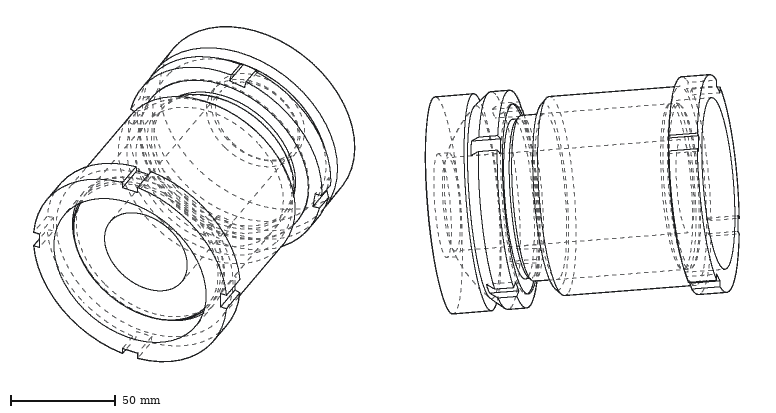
import cadquery as cq
import math

flange_radius = 52.5
flange_bevel_height = 1.2
thread_radius = 40.0
bore_radius = 22.5

slot_width = 8.2
slot_depth = 3.3
slot_count = 4

housing_radius = 48.0
housing_height = 82.0
housing_chamfer = 3.0
housing_flange_height = 15.1
relief_radius = 41.4
relief_depth = 19.0

spindle_base = 16.3
spindle_end_chamfer = 0.8
thread_top = 94.8
thread_top_chamfer = 1.5
neck_radius = 38.5
head_base = 96.7
head_bevel_radius = 48.2
head_recess_radius = 45.8
head_recess_depth = 0.8
dome_start = 107.2
spindle_slot_top = 112.0
spindle_turn = 8.1

sphere_center = 70.7
sphere_radius = math.hypot(flange_radius, dome_start - sphere_center)
dome_top = sphere_center + math.sqrt(sphere_radius**2 - bore_radius**2)

cap_radius = 52.4
cap_bore_radius = 25.0
cap_base = 114.5
cap_top = 134.7
cap_bevel_height = 0.7
cap_bevel_width = 3.0
cap_tilt_z = 1.4
cap_tilt_x = 0.9


def revolve_y(profile):
    """Turn a closed (radius, Y) profile around the Y axis."""
    return profile.close().revolve(360, (0, 0, 0), (0, 1, 0))


def cylinder_y(radius, start, end):
    return cq.Workplane("XZ", origin=(0, start, 0)).circle(radius).extrude(start - end)


def cut_spanner_slots(body, start, end, turn):
    """Cut equally spaced slots into a flange, from Y = start to Y = end."""
    slot = cq.Workplane("XY").box(
        2 * slot_depth, end - start, slot_width
    ).translate((flange_radius, (start + end) / 2, 0))
    for index in range(slot_count):
        angle = turn + index * 360 / slot_count
        body = body.cut(slot.rotate((0, 0, 0), (0, 1, 0), angle))
    return body


def make_housing():
    relief_step = relief_radius - thread_radius
    profile = (
        cq.Workplane("XY")
        .moveTo(relief_radius, 0)
        .lineTo(flange_radius, 0)
        .lineTo(flange_radius, housing_flange_height - flange_bevel_height)
        .lineTo(housing_radius, housing_flange_height)
        .lineTo(housing_radius, housing_height - housing_chamfer)
        .lineTo(housing_radius - housing_chamfer, housing_height)
        .lineTo(thread_radius, housing_height)
        .lineTo(thread_radius, relief_depth + relief_step)
        .lineTo(relief_radius, relief_depth)
    )
    return cut_spanner_slots(revolve_y(profile), 0, housing_flange_height, 0)


def make_spindle():
    edge_angle = math.asin(flange_radius / sphere_radius)
    bore_angle = math.asin(bore_radius / sphere_radius)
    middle_angle = (edge_angle + bore_angle) / 2
    dome_middle = (
        sphere_radius * math.sin(middle_angle),
        sphere_center + sphere_radius * math.cos(middle_angle),
    )
    profile = (
        cq.Workplane("XY")
        .moveTo(bore_radius, spindle_base)
        .lineTo(thread_radius - spindle_end_chamfer, spindle_base)
        .lineTo(thread_radius, spindle_base + spindle_end_chamfer)
        .lineTo(thread_radius, thread_top - thread_top_chamfer)
        .lineTo(neck_radius, thread_top)
        .lineTo(neck_radius, head_base + head_recess_depth)
        .lineTo(head_recess_radius, head_base + head_recess_depth)
        .lineTo(head_recess_radius, head_base)
        .lineTo(head_bevel_radius, head_base)
        .lineTo(flange_radius, head_base + flange_bevel_height)
        .lineTo(flange_radius, dome_start)
        .threePointArc(dome_middle, (bore_radius, dome_top))
    )
    return cut_spanner_slots(revolve_y(profile), head_base, spindle_slot_top, spindle_turn)


def make_cap():
    profile = (
        cq.Workplane("XY")
        .moveTo(0, cap_base)
        .lineTo(cap_radius - cap_bevel_width, cap_base)
        .lineTo(cap_radius, cap_base + cap_bevel_height)
        .lineTo(cap_radius, cap_top - cap_bevel_height)
        .lineTo(cap_radius - cap_bevel_width, cap_top)
        .lineTo(0, cap_top)
    )
    cap = revolve_y(profile)
    cap = cap.cut(cq.Workplane("XY").sphere(sphere_radius).translate((0, sphere_center, 0)))
    cap = cap.cut(cylinder_y(cap_bore_radius, cap_base, cap_top))
    pivot = (0, sphere_center, 0)
    cap = cap.rotate(pivot, (0, sphere_center, 1), cap_tilt_z)
    return cap.rotate(pivot, (1, sphere_center, 0), -cap_tilt_x)


housing = make_housing()
spindle = make_spindle()
cap = make_cap()

result = cq.Compound.makeCompound([housing.val(), spindle.val(), cap.val()])